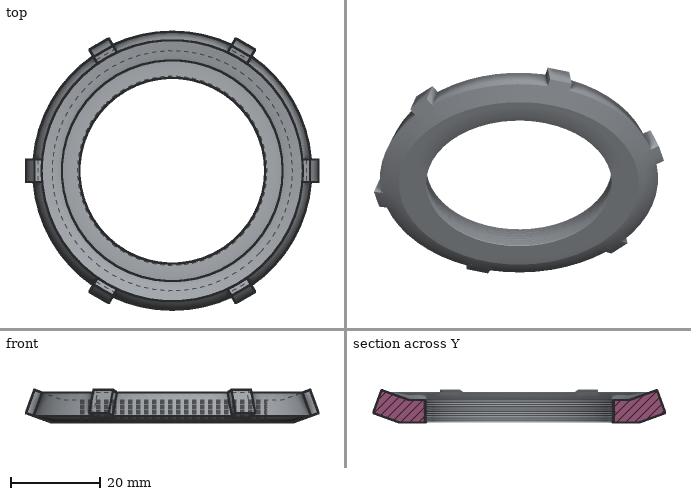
import cadquery as cq
import math

cone_angle = 20.0
edge_radius = 31.2
base_radius = 26.95
floor_radius = 24.8
bore_radius = 20.8
wall_length = 5.6

lug_count = 6
lug_width = 5.05
lug_root = 1.2
overall_width = 65.7

groove_pitch = 0.5
groove_angle = 60.0

cos_cone = math.cos(math.radians(cone_angle))
sin_cone = math.sin(math.radians(cone_angle))
slope = sin_cone / cos_cone

edge_height = (edge_radius - base_radius) * slope
rim_radius = edge_radius - wall_length * sin_cone
rim_height = edge_height + wall_length * cos_cone
floor_height = rim_height - (rim_radius - floor_radius) * slope
lug_projection = (overall_width / 2 - edge_radius) / cos_cone
groove_depth = groove_pitch / 2 / math.tan(math.radians(groove_angle / 2))


def make_ring():
    """Revolve the dished ring, with V grooves down the bore."""
    profile = cq.Workplane("XZ").moveTo(bore_radius, 0).lineTo(base_radius, 0)
    profile = profile.lineTo(edge_radius, edge_height).lineTo(rim_radius, rim_height)
    profile = profile.lineTo(floor_radius, floor_height).lineTo(bore_radius, floor_height)
    groove_count = int(floor_height / groove_pitch)
    for index in range(groove_count):
        groove_top = floor_height - index * groove_pitch
        profile = profile.lineTo(bore_radius + groove_depth, groove_top - groove_pitch / 2)
        profile = profile.lineTo(bore_radius, groove_top - groove_pitch)
    return profile.close().revolve(360, (0, 0, 0), (0, 1, 0))


def make_lug():
    """Rectangular lug standing square to the outer wall on the +X side."""

    def on_normal(radius, height, distance):
        return (radius + distance * cos_cone, height + distance * sin_cone)

    corners = [
        on_normal(edge_radius, edge_height, -lug_root),
        on_normal(edge_radius, edge_height, lug_projection),
        on_normal(rim_radius, rim_height, lug_projection),
        on_normal(rim_radius, rim_height, -lug_root),
    ]
    return cq.Workplane("XZ").polyline(corners).close().extrude(lug_width / 2, both=True)


result = make_ring()
lug = make_lug()
for lug_index in range(lug_count):
    lug_angle = lug_index * 360 / lug_count
    result = result.union(lug.rotate((0, 0, 0), (0, 0, 1), lug_angle))